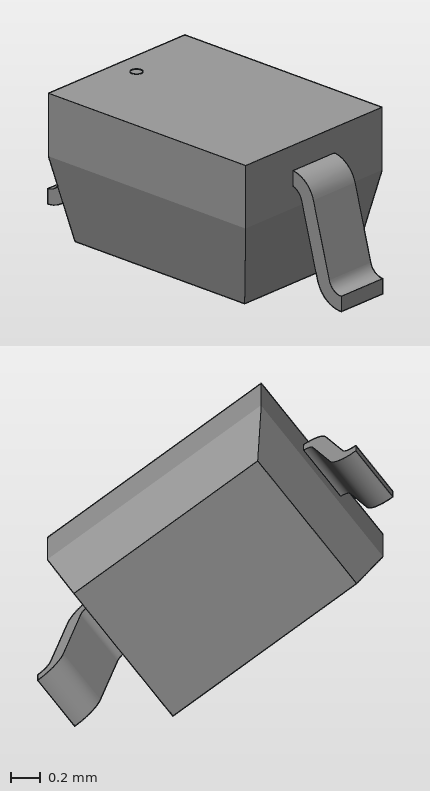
import cadquery as cq
import math

span = 2.69
body_length = 1.808
body_width = 1.35
body_height = 1.09

parting_height = 0.627
taper_inset = 0.126

lead_width = 0.412
lead_thickness = 0.113
lead_top = 0.907
inner_radius = 0.113
lean_angle = 15.0

mark_diameter = 0.09
mark_depth = 0.005
mark_x = -0.72


def make_body():
    upper = (
        cq.Workplane("XY")
        .workplane(offset=parting_height)
        .rect(body_length, body_width)
        .extrude(body_height - parting_height)
    )
    lower = (
        cq.Workplane("XY")
        .rect(body_length - 2 * taper_inset, body_width - 2 * taper_inset)
        .workplane(offset=parting_height)
        .rect(body_length, body_width)
        .loft(ruled=True)
    )
    return upper.union(lower)


def arc_point(center, radius, degrees):
    angle = math.radians(degrees)
    return (
        center[0] + radius * math.cos(angle),
        center[1] + radius * math.sin(angle),
    )


def make_left_lead():
    """Constant-thickness lead with two equal bends, rooted inside the body."""
    outer_radius = inner_radius + lead_thickness
    bend_sum = inner_radius + outer_radius
    lean = math.radians(lean_angle)

    rise = lead_top - lead_thickness
    leg_length = (rise - bend_sum * (1 - math.sin(lean))) / math.cos(lean)
    run = bend_sum * math.cos(lean) + leg_length * math.sin(lean)

    foot_end = -span / 2
    foot_center = (foot_end, outer_radius)
    shoulder_center = (foot_end + run, lead_top - outer_radius)
    root_x = -body_length / 2 + taper_inset

    foot_stop = -lean_angle
    foot_middle = (foot_stop - 90) / 2
    shoulder_stop = 180 - lean_angle
    shoulder_middle = (shoulder_stop + 90) / 2

    profile = (
        cq.Workplane("XZ")
        .moveTo(foot_end, 0)
        .threePointArc(
            arc_point(foot_center, outer_radius, foot_middle),
            arc_point(foot_center, outer_radius, foot_stop),
        )
        .lineTo(*arc_point(shoulder_center, inner_radius, shoulder_stop))
        .threePointArc(
            arc_point(shoulder_center, inner_radius, shoulder_middle),
            arc_point(shoulder_center, inner_radius, 90),
        )
        .lineTo(root_x, lead_top - lead_thickness)
        .lineTo(root_x, lead_top)
        .lineTo(shoulder_center[0], lead_top)
        .threePointArc(
            arc_point(shoulder_center, outer_radius, shoulder_middle),
            arc_point(shoulder_center, outer_radius, shoulder_stop),
        )
        .lineTo(*arc_point(foot_center, inner_radius, foot_stop))
        .threePointArc(
            arc_point(foot_center, inner_radius, foot_middle),
            arc_point(foot_center, inner_radius, -90),
        )
        .close()
    )
    return profile.extrude(lead_width / 2, both=True)


def make_mark():
    return (
        cq.Workplane("XY")
        .workplane(offset=body_height - mark_depth)
        .center(mark_x, 0)
        .circle(mark_diameter / 2)
        .extrude(mark_depth)
    )


left_lead = make_left_lead()
right_lead = left_lead.mirror("YZ")
result = make_body().union(left_lead).union(right_lead).cut(make_mark())